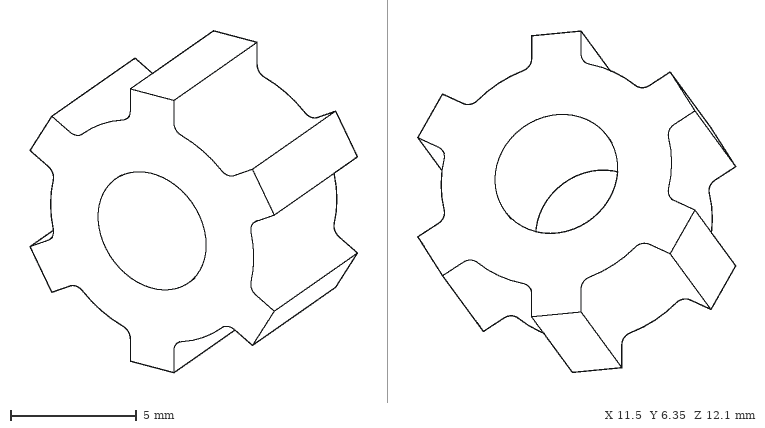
import cadquery as cq

tip_height = 6.03
tooth_count = 6
tooth_width = 2.05
body_diameter = 9.54
bore_diameter = 5.08
root_fillet = 0.5
length = 6.35


def cylinder(diameter):
    """Full-length cylinder centred on the wheel axis."""
    return cq.Workplane("XZ").circle(diameter / 2).extrude(length / 2, both=True)


def tooth(angle):
    """Flat-tipped tooth reaching from the axis outward, turned about Y."""
    blank = cq.Workplane("XY").box(tooth_width, length, tip_height)
    raised = blank.translate((0, 0, tip_height / 2))
    return raised.rotate((0, 0, 0), (0, 1, 0), angle)


wheel = cylinder(body_diameter)
for index in range(tooth_count):
    wheel = wheel.union(tooth(index * 360 / tooth_count))

root_zone = cylinder(body_diameter + root_fillet).val()
root_edges = [edge for edge in wheel.edges("|Y").vals() if root_zone.isInside(edge.Center())]
wheel = wheel.newObject(root_edges).fillet(root_fillet)

result = wheel.cut(cylinder(bore_diameter))